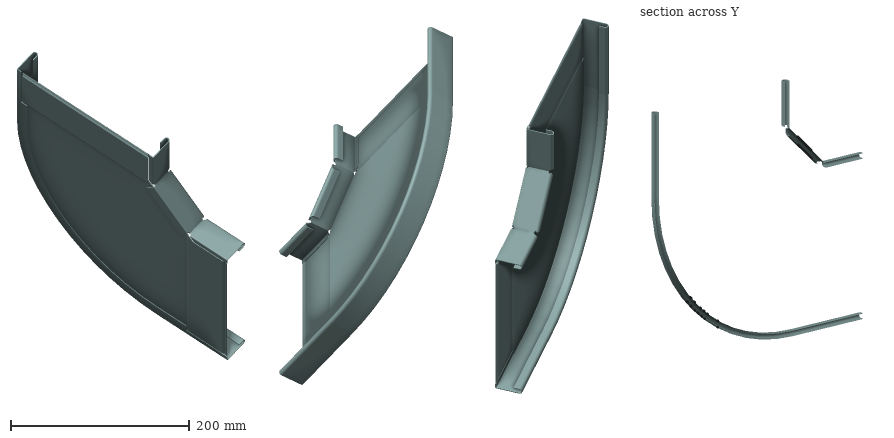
import cadquery as cq
import math

SIZE = 302.0
DEPTH = 32.0
SHEET = 1.0
MOUTH = 196.0
OUTER_RADIUS = 200.0
CORNER = 246.0

FRONT_BEND = 1.5
BACK_BEND = 3.5
LIP_DROP = 10.3
WIDE_FLANGE = 15.0
NARROW_FLANGE = 6.5

DIAGONAL_TRIM = 1.2
ARM_TRIM = 2.7
NOTCH = 2.0

TONGUE_START = 243.0
STEP_FOOT = 244.0
STEP_TOP = 246.0
STEP_RADIUS = 2.0
GROOVE_START = 295.0
HOOK_START = 296.5
HOOK_CENTER = 298.0
HOOK_RADIUS = 2.7
GROOVE_DEPTH = 1.5
TONGUE_GAP = 1.5
SHOULDER = 252.0

MIRROR_NORMAL = (1, 0, -1)
DIAGONAL_LENGTH = math.sqrt(2) * (CORNER - MOUTH)


def rail_profile(plane, flange):
    """Closed rail section: local x runs inward from the wall, local y from front to back."""
    lip_y = DEPTH - BACK_BEND
    lip_x = 2 * BACK_BEND
    fold_mid = FRONT_BEND * (1 - math.sqrt(0.5))
    fold_inner = FRONT_BEND - SHEET
    fold_inner_mid = FRONT_BEND - fold_inner * math.sqrt(0.5)
    return (
        cq.Workplane(plane)
        .moveTo(flange, 0)
        .lineTo(FRONT_BEND, 0)
        .threePointArc((fold_mid, fold_mid), (0, FRONT_BEND))
        .lineTo(0, lip_y)
        .threePointArc((BACK_BEND, DEPTH), (lip_x, lip_y))
        .lineTo(lip_x, DEPTH - LIP_DROP)
        .lineTo(lip_x - SHEET, DEPTH - LIP_DROP)
        .lineTo(lip_x - SHEET, lip_y)
        .threePointArc((BACK_BEND, DEPTH - SHEET), (SHEET, lip_y))
        .lineTo(SHEET, FRONT_BEND)
        .threePointArc((fold_inner_mid, fold_inner_mid), (FRONT_BEND, SHEET))
        .lineTo(flange, SHEET)
        .close()
    )


def prism(points, front, back):
    """Polygon of (x, z) points, extruded along Y from front to back."""
    outline = cq.Workplane("XZ", origin=(0, front, 0)).polyline(points).close()
    return outline.extrude(front - back)


def with_mirror(half):
    """The half joined to its reflection in the plane X = Z."""
    return half.union(half.mirror(MIRROR_NORMAL))


def make_outer_rail():
    """Curved wall with a straight arm at each end; its flange narrows beside the tongues."""
    curve_plane = cq.Plane((0, 0, OUTER_RADIUS), xDir=(1, 0, 0), normal=(0, 0, 1))
    mouth_plane = cq.Plane((0, 0, TONGUE_START), xDir=(1, 0, 0), normal=(0, 0, 1))
    curve = rail_profile(curve_plane, WIDE_FLANGE).revolve(
        90, (OUTER_RADIUS, 0), (OUTER_RADIUS, -1)
    )
    wide_arm = rail_profile(curve_plane, WIDE_FLANGE).extrude(TONGUE_START - OUTER_RADIUS)
    narrow_arm = rail_profile(mouth_plane, NARROW_FLANGE).extrude(SIZE - TONGUE_START)
    return curve.union(with_mirror(wide_arm.union(narrow_arm)))


def inner_wall():
    """Continuous flat wall through both corners, without its folded edges."""
    miter = SHEET * math.tan(math.pi / 8)
    inside = MOUTH - SHEET
    points = [
        (MOUTH, SIZE),
        (MOUTH, CORNER),
        (CORNER, MOUTH),
        (SIZE, MOUTH),
        (SIZE, inside),
        (CORNER - miter, inside),
        (inside, CORNER - miter),
        (inside, SIZE),
    ]
    return prism(points, FRONT_BEND, DEPTH - BACK_BEND)


def inner_arm():
    """Folded length beside the upper mouth, its flange ending at 45 degrees."""
    plane = cq.Plane((MOUTH, 0, SIZE), xDir=(-1, 0, 0), normal=(0, 0, -1))
    arm_end = CORNER + ARM_TRIM
    arm = rail_profile(plane, NARROW_FLANGE).extrude(SIZE - arm_end)
    cut_width = NARROW_FLANGE - FRONT_BEND
    flange_edge = MOUTH - NARROW_FLANGE
    miter_cut = prism(
        [
            (MOUTH - FRONT_BEND, arm_end),
            (flange_edge, arm_end),
            (flange_edge, arm_end + cut_width),
        ],
        0,
        SHEET,
    )
    return arm.cut(miter_cut)


def inner_diagonal():
    """Folded length along the diagonal, its back lip mitered where the arms begin."""
    inset = DIAGONAL_TRIM * math.sqrt(0.5)
    plane = cq.Plane(
        (MOUTH + inset, 0, CORNER - inset), xDir=(-1, 0, -1), normal=(1, 0, -1)
    )
    strip = rail_profile(plane, WIDE_FLANGE).extrude(DIAGONAL_LENGTH - 2 * DIAGONAL_TRIM)
    lip_miter = prism(
        [(0, MOUTH), (MOUTH, MOUTH), (MOUTH, SIZE), (0, SIZE)], DEPTH - LIP_DROP, DEPTH
    )
    return strip.cut(lip_miter).cut(lip_miter.mirror(MIRROR_NORMAL))


def corner_notch(fold_y):
    """Diamond relief where the folds of the arm and the diagonal meet."""
    plane = cq.Plane((MOUTH, fold_y, CORNER), xDir=(0, 1, 0), normal=(1, 0, 0))
    diamond = [(-NOTCH, 0), (0, -NOTCH), (NOTCH, 0), (0, NOTCH)]
    return cq.Workplane(plane).polyline(diamond).close().extrude(NOTCH, both=True)


def make_inner_rail():
    """Diagonal wall with an arm at each end and reliefs at the corners."""
    arm = inner_arm()
    rail = inner_wall().union(inner_diagonal()).union(arm).union(arm.mirror(MIRROR_NORMAL))
    for fold_y in (FRONT_BEND, DEPTH - BACK_BEND):
        notch = corner_notch(fold_y)
        rail = rail.cut(notch).cut(notch.mirror(MIRROR_NORMAL))
    return rail


def base_sheet():
    """Flat sheet lying behind the front flanges and reaching the folds of both rails."""
    edge = FRONT_BEND
    radius = OUTER_RADIUS - edge
    arc_mid = OUTER_RADIUS - radius * math.sqrt(0.5)
    inner_edge = MOUTH - FRONT_BEND
    return (
        cq.Workplane("XZ", origin=(0, SHEET, 0))
        .moveTo(edge, TONGUE_START)
        .lineTo(edge, OUTER_RADIUS)
        .threePointArc((arc_mid, arc_mid), (OUTER_RADIUS, edge))
        .lineTo(TONGUE_START, edge)
        .lineTo(TONGUE_START, inner_edge)
        .lineTo(inner_edge, TONGUE_START)
        .close()
        .extrude(-SHEET)
    )


def tongue():
    """Upper tongue: stepped forward from the base, with a hooked groove across its tip."""
    center_y = GROOVE_DEPTH - HOOK_RADIUS
    start_angle = math.asin((HOOK_START - HOOK_CENTER) / HOOK_RADIUS)
    end_angle = math.acos(-center_y / HOOK_RADIUS)
    back_radius = HOOK_RADIUS + SHEET

    def hook_point(radius, angle):
        """Point (y, z) on the hook, at an angle from its deepest point towards the tip."""
        y = center_y + radius * math.cos(angle)
        z = HOOK_CENTER + radius * math.sin(angle)
        return (y, z)

    section = (
        cq.Workplane("YZ")
        .moveTo(SHEET, TONGUE_START)
        .lineTo(SHEET, STEP_FOOT)
        .lineTo(0, STEP_TOP)
        .lineTo(0, GROOVE_START)
        .lineTo(*hook_point(HOOK_RADIUS, start_angle))
        .threePointArc(hook_point(HOOK_RADIUS, 0), hook_point(HOOK_RADIUS, end_angle))
        .lineTo(*hook_point(back_radius, end_angle))
        .threePointArc(hook_point(back_radius, 0), hook_point(back_radius, start_angle))
        .lineTo(SHEET, GROOVE_START)
        .lineTo(SHEET, STEP_TOP)
        .lineTo(2 * SHEET, STEP_FOOT)
        .lineTo(2 * SHEET, TONGUE_START)
        .close()
        .extrude(MOUTH)
    )
    foot_crease = cq.selectors.NearestToPointSelector((MOUTH / 2, SHEET, STEP_FOOT))
    section = section.edges(foot_crease).fillet(STEP_RADIUS)
    outer_side = NARROW_FLANGE + TONGUE_GAP
    inner_side = MOUTH - outer_side
    root_side = MOUTH - FRONT_BEND
    outline = [
        (outer_side, TONGUE_START),
        (root_side, TONGUE_START),
        (root_side, SHOULDER - (root_side - inner_side)),
        (inner_side, SHOULDER),
        (inner_side, SIZE),
        (outer_side, SIZE),
    ]
    return section.intersect(prism(outline, 0, DEPTH))


def make_plate():
    """One sheet: the base and a tongue into each mouth."""
    upper = tongue()
    return base_sheet().union(upper).union(upper.mirror(MIRROR_NORMAL))


outer_rail = make_outer_rail()
inner_rail = make_inner_rail()
plate = make_plate()

result = cq.Compound.makeCompound(
    [outer_rail.solids().val(), inner_rail.solids().val(), plate.solids().val()]
)